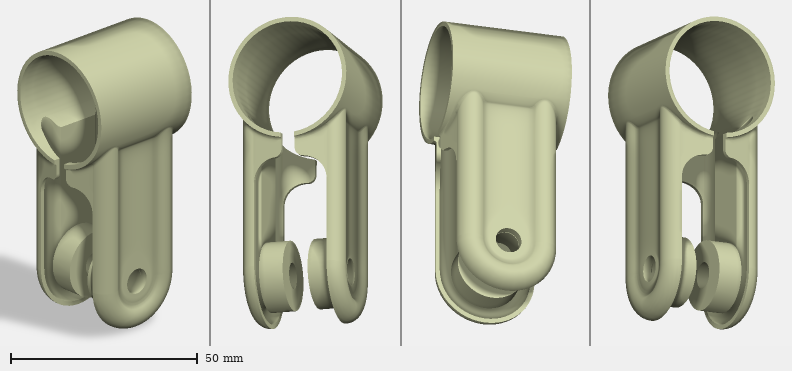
import cadquery as cq
import math

tube_radius = 16.5
tube_length = 33.0
wall = 1.2
half_gap = 1.9

leg_half_width = 13.8
leg_outer_x = 14.25
leg_edge_x = 10.1
bead_radius = 3.9
panel_x = 12.7
total_height = 81.0
leg_end_z = tube_radius - total_height
pivot_z = leg_end_z + leg_half_width
bead_y = leg_half_width - bead_radius
bead_x = leg_outer_x - bead_radius

panel_half_width = 5.9
inner_panel_half_width = 5.0

web_end_y = 15.9
web_bottom_z = -21.6
web_corner_radius = 2.1
web_fillet_radius = leg_edge_x - half_gap - web_corner_radius
junction_fillet = 0.7

bush_radius = 9.5
bush_inner_x = 3.5
pivot_hole_radius = 3.6


def leg_section(radius, flat_x, flat_half_width, open_x):
    """Half section from open_x out to a flat panel, joined to a bead of the given radius by a tangent arc."""
    offset = bead_y - flat_half_width
    rise = flat_x - bead_x
    blend = (offset**2 + rise**2 - radius**2) / (2 * (radius - rise))
    blend_x = flat_x + blend
    blend_angle = math.atan2(blend_x - bead_x, offset)
    join_x = bead_x + radius * math.sin(blend_angle)
    join_y = bead_y - radius * math.cos(blend_angle)
    mid_angle = (math.pi / 2 + blend_angle) / 2
    blend_mid_x = blend_x - blend * math.sin(mid_angle)
    blend_mid_y = flat_half_width + blend * math.cos(mid_angle)
    return (
        cq.Workplane("XY", origin=(0, 0, pivot_z))
        .moveTo(open_x, 0)
        .lineTo(flat_x, 0)
        .lineTo(flat_x, flat_half_width)
        .threePointArc((blend_mid_x, blend_mid_y), (join_x, join_y))
        .threePointArc((bead_x + radius, bead_y), (bead_x, bead_y + radius))
        .lineTo(open_x, bead_y + radius)
        .close()
    )


def leg_volume(radius, flat_x, flat_half_width, open_x):
    """Straight leg up to the tube axis, with a rounded lower end."""
    sizes = (radius, flat_x, flat_half_width, open_x)
    half = leg_section(*sizes).extrude(-pivot_z)
    end = leg_section(*sizes).revolve(180, (0, 0, 0), (-1, 0, 0))
    return half.union(half.mirror("XZ")).union(end)


def web_plan(inset, inner_x):
    """Tapered block between the webs, reaching from inner_x into the leg."""
    slope = (web_end_y - leg_half_width) / (bead_x - half_gap)
    leg_y = leg_half_width - inset
    inner_y = leg_y + slope * (bead_x - inner_x)
    corners = [(bead_x, -leg_y), (bead_x, leg_y), (inner_x, inner_y), (inner_x, -inner_y)]
    return cq.Workplane("XY", origin=(0, 0, pivot_z)).polyline(corners).close().extrude(-pivot_z)


def web_volume():
    corner_x = half_gap + web_corner_radius
    diagonal = math.sqrt(0.5)
    fillet_z = web_bottom_z - web_fillet_radius
    corner_z = web_bottom_z + web_corner_radius
    side = (
        cq.Workplane("XZ")
        .moveTo(half_gap, 0)
        .lineTo(half_gap, corner_z)
        .threePointArc(
            (corner_x - web_corner_radius * diagonal, corner_z - web_corner_radius * diagonal),
            (corner_x, web_bottom_z),
        )
        .threePointArc(
            (corner_x + web_fillet_radius * diagonal, fillet_z + web_fillet_radius * diagonal),
            (leg_edge_x, fillet_z),
        )
        .lineTo(bead_x, fillet_z)
        .lineTo(bead_x, 0)
        .close()
        .extrude(tube_length / 2, both=True)
    )
    return web_plan(0, half_gap).intersect(side)


def cylinder_y(radius, length):
    return cq.Workplane("XZ").circle(radius).extrude(length / 2, both=True)


def cylinder_x(radius, start, end):
    return cq.Workplane("YZ", origin=(start, 0, pivot_z)).circle(radius).extrude(end - start)


def is_junction(edge):
    """True for edges where a leg or web leaves the tube."""
    tolerance = 0.01
    samples = [edge.positionAt(t) for t in (0.25, 0.5, 0.75)]
    on_tube = all(abs(math.hypot(p.x, p.z) - tube_radius) < tolerance for p in samples)
    within_length = all(abs(p.y) < tube_length / 2 for p in samples)
    beside_slit = all(half_gap + tolerance < abs(p.x) < tube_radius - tolerance for p in samples)
    return on_tube and within_length and beside_slit and edge.Length() < tube_length


leg = leg_volume(bead_radius, panel_x, panel_half_width, leg_edge_x).union(web_volume())
body = cylinder_y(tube_radius, 2 * tube_length).union(leg).union(leg.mirror("YZ"))
junction_edges = [edge for edge in body.edges().vals() if is_junction(edge)]
body = body.newObject(junction_edges).fillet(junction_fillet)

body = body.intersect(cq.Workplane("XY").box(2 * tube_radius, tube_length, 2 * total_height))

hollow = leg_volume(bead_radius - wall, leg_edge_x, inner_panel_half_width, 0).union(web_plan(wall, 0))
slit = cq.Workplane("XY", origin=(0, 0, -total_height / 2)).box(2 * half_gap, tube_length, total_height)
body = body.cut(cylinder_y(tube_radius - wall, 2 * tube_length)).cut(hollow).cut(hollow.mirror("YZ"))
body = body.cut(slit)

bush = cylinder_x(bush_radius, bush_inner_x, leg_edge_x)
body = body.union(bush).union(bush.mirror("YZ"))
result = body.cut(cylinder_x(pivot_hole_radius, -tube_radius, tube_radius))